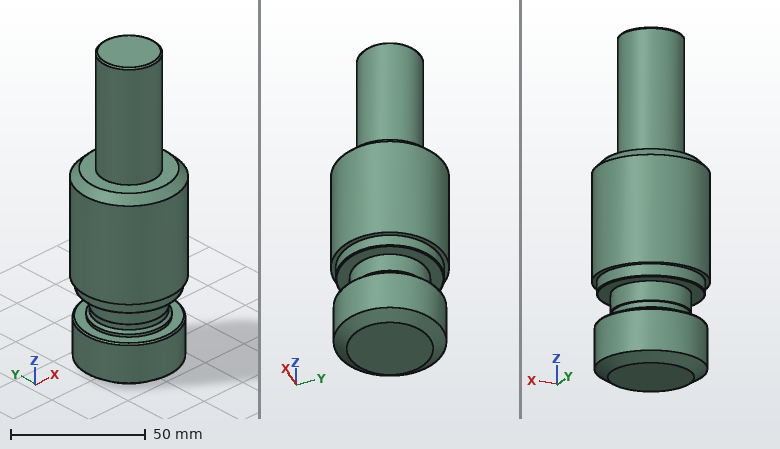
import cadquery as cq

total_height = 133.9
head_diameter = 42.0
collar_diameter = 32.0
groove_diameter = 29.6
neck_diameter = 30.1
flange_diameter = 40.5
body_diameter = 44.0
shank_diameter = 24.9

head_top = 20.1
groove_bottom = 22.5
groove_top = 24.8
flange_bottom = 32.7
body_bottom = 37.6
body_top = 83.5

head_bottom_cone_height = 3.2
head_bottom_cone_width = 5.0
head_top_chamfer = 0.7
flange_chamfer = 0.4
body_chamfer = 3.5
shank_chamfer = 0.7

collar_cone = (collar_diameter - groove_diameter) / 2
neck_cone = (neck_diameter - groove_diameter) / 2

head_radius = head_diameter / 2
collar_radius = collar_diameter / 2
groove_radius = groove_diameter / 2
neck_radius = neck_diameter / 2
flange_radius = flange_diameter / 2
body_radius = body_diameter / 2
shank_radius = shank_diameter / 2

half_section = [
    (0, 0),
    (head_radius - head_bottom_cone_width, 0),
    (head_radius, head_bottom_cone_height),
    (head_radius, head_top - head_top_chamfer),
    (head_radius - head_top_chamfer, head_top),
    (collar_radius, head_top),
    (collar_radius, groove_bottom - collar_cone),
    (groove_radius, groove_bottom),
    (groove_radius, groove_top),
    (neck_radius, groove_top + neck_cone),
    (neck_radius, flange_bottom),
    (flange_radius - flange_chamfer, flange_bottom),
    (flange_radius, flange_bottom + flange_chamfer),
    (flange_radius, body_bottom),
    (body_radius, body_bottom),
    (body_radius, body_top - body_chamfer),
    (body_radius - body_chamfer, body_top),
    (shank_radius, body_top),
    (shank_radius, total_height - shank_chamfer),
    (shank_radius - shank_chamfer, total_height),
    (0, total_height),
]

result = cq.Workplane("XZ").polyline(half_section).close().revolve(360, (0, 0, 0), (0, 1, 0))